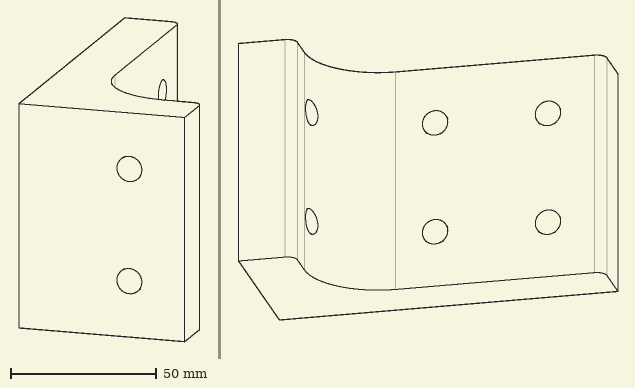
import cadquery as cq

length = 120.0
thickness = length / 6
width = 3 * thickness
height = 4 * thickness
hole_diameter = 9.0
hole_inset = thickness
hole_spacing = 2 * thickness
inner_radius = 26.0
tip_radius = 3.5

hole_levels = (hole_inset, hole_inset + hole_spacing)


def bracket_body():
    """L-shaped block with its outer corner at the origin."""
    body = (
        cq.Workplane("XY")
        .polyline([
            (0, 0),
            (width, 0),
            (width, thickness),
            (thickness, thickness),
            (thickness, length),
            (0, length),
        ])
        .close()
        .extrude(height)
    )
    mid_height = height / 2
    inner_corner = (thickness, thickness, mid_height)
    long_leg_tip = (thickness, length, mid_height)
    short_leg_tip = (width, thickness, mid_height)
    body = body.edges(cq.NearestToPointSelector(inner_corner)).fillet(inner_radius)
    for tip in (long_leg_tip, short_leg_tip):
        body = body.edges(cq.NearestToPointSelector(tip)).fillet(tip_radius)
    return body


def hole_cutter(start, direction, depth):
    """Cylinder that drills a hole from a start point."""
    return cq.Solid.makeCylinder(hole_diameter / 2, depth, cq.Vector(*start), cq.Vector(*direction))


result = bracket_body()

for y in (length - hole_inset, length - hole_inset - hole_spacing):
    for z in hole_levels:
        result = result.cut(hole_cutter((0, y, z), (1, 0, 0), width))

for z in hole_levels:
    result = result.cut(hole_cutter((width - hole_inset, 0, z), (0, 1, 0), length))